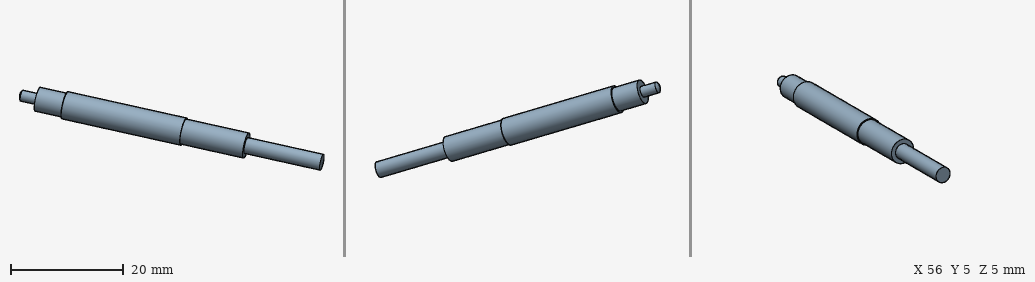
import cadquery as cq

total_length = 56.0

tip_diameter = 2.0
tip_length = 3.35
dome_height = 0.4

collar_diameter = 4.35
collar_length = 5.05

body_diameter = 5.0
body_length = 22.0

sleeve_diameter = 4.6
sleeve_length = 11.6

stem_diameter = 2.9

tip_start = -total_length / 2
collar_start = tip_start + tip_length
body_start = collar_start + collar_length
sleeve_start = body_start + body_length
stem_start = sleeve_start + sleeve_length
stem_end = tip_start + total_length


def cylinder_section(start, end, diameter):
    """Solid cylinder on the X axis between two axial positions."""
    return cq.Workplane("YZ", origin=(start, 0, 0)).circle(diameter / 2).extrude(end - start)


def domed_tip():
    """Contact tip with a spherical cap at its -X end."""
    tip_radius = tip_diameter / 2
    dome_radius = (tip_radius**2 + dome_height**2) / (2 * dome_height)
    dome_middle_height = tip_radius / 2
    dome_middle = tip_start + dome_radius - (dome_radius**2 - dome_middle_height**2) ** 0.5
    return (
        cq.Workplane("XY")
        .moveTo(tip_start, 0)
        .threePointArc((dome_middle, dome_middle_height), (tip_start + dome_height, tip_radius))
        .lineTo(collar_start, tip_radius)
        .lineTo(collar_start, 0)
        .close()
        .revolve(360, (0, 0, 0), (1, 0, 0))
    )


sections = [
    (collar_start, body_start, collar_diameter),
    (body_start, sleeve_start, body_diameter),
    (sleeve_start, stem_start, sleeve_diameter),
    (stem_start, stem_end, stem_diameter),
]

result = domed_tip()
for start, end, diameter in sections:
    result = result.union(cylinder_section(start, end, diameter))